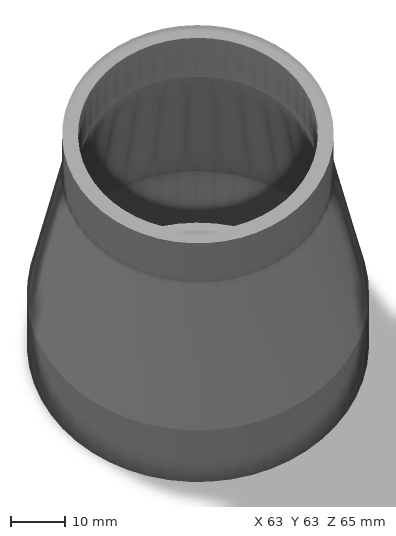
import cadquery as cq

total_height = 65.0
wide_diameter = 63.0
narrow_diameter = 50.0
wide_wall = 3.6
narrow_wall = 2.9
wide_length = 16.0
narrow_length = 12.0

cone_top = total_height - narrow_length


def stepped_cone(wide_radius, narrow_radius):
    """Solid of a wide cylinder, a cone and a narrow cylinder stacked along Z."""
    half_profile = [
        (0, 0),
        (wide_radius, 0),
        (wide_radius, wide_length),
        (narrow_radius, cone_top),
        (narrow_radius, total_height),
        (0, total_height),
    ]
    return cq.Workplane("XZ").polyline(half_profile).close().revolve(360, (0, 0), (0, 1))


wide_radius = wide_diameter / 2
narrow_radius = narrow_diameter / 2

body = stepped_cone(wide_radius, narrow_radius)
bore = stepped_cone(wide_radius - wide_wall, narrow_radius - narrow_wall)

result = body.cut(bore)